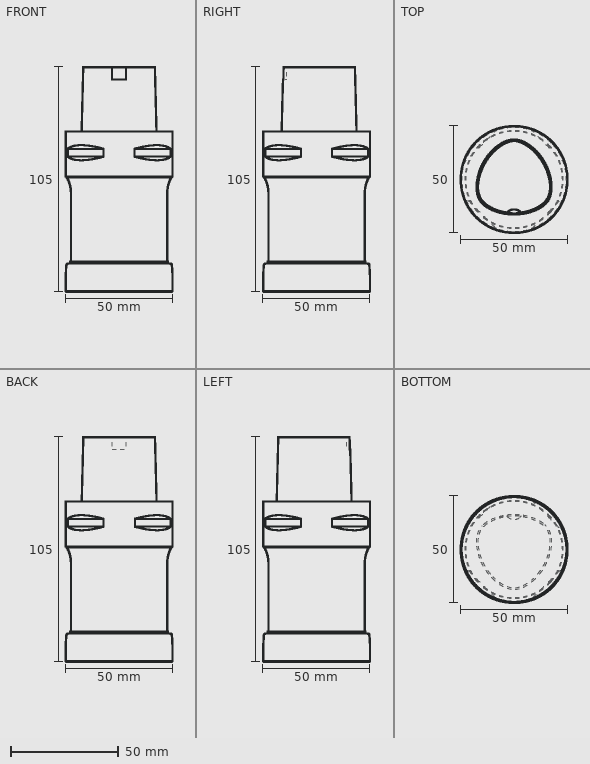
import cadquery as cq
import math

total_height = 105.0
flange_radius = 50.0 / 2
barrel_radius = 45.0 / 2

nut_height = 13.3
nut_top_radius = 24.7
nut_straight_height = 7.4
nut_bottom_chamfer = 0.5
nut_top_fillet = 0.8
lip_radius = 22.9
lip_height = 0.8
nut_total_height = nut_height + lip_height

neck_start_z = 46.1
flange_bottom_z = 54.0
flange_chamfer = 0.6
shank_length = 30.0
shank_bottom_z = total_height - shank_length

shank_mean_radius = 17.5
lobe_height = 1.2
taper_ratio = 1 / 40
flat_half_angle = 24.0
points_per_side = 7

keyway_radius = 4.2
keyway_depth = 1.7
keyway_height = 5.8

slot_count = 4
slot_z = 65.0
slot_floor_distance = 22.0
slot_floor_height = 3.7
slot_wall_angle = 30.0


def shank_point(angle, mean_radius, z):
    """Point whose outward normal is at `angle` degrees from +Y, towards +X."""
    a = math.radians(angle)
    reach = mean_radius + lobe_height * math.cos(3 * a)
    slope = -3 * lobe_height * math.sin(3 * a)
    x = reach * math.sin(a) + slope * math.cos(a)
    y = reach * math.cos(a) - slope * math.sin(a)
    return cq.Vector(x, y, z)


def shank_outline(mean_radius, z):
    """Closed three-lobed outline of alternating lobes and flatter sides."""
    lobe_half_angle = 60 - flat_half_angle
    edges = []
    for lobe_angle in (0, 120, 240):
        for middle, half_angle in ((lobe_angle, lobe_half_angle), (lobe_angle + 60, flat_half_angle)):
            step = 2 * half_angle / (points_per_side - 1)
            angles = [middle - half_angle + i * step for i in range(points_per_side)]
            points = [shank_point(angle, mean_radius, z) for angle in angles]
            edges.append(cq.Edge.makeSpline(points))
    return cq.Wire.assembleEdges(edges)


def make_shank():
    top_radius = shank_mean_radius - shank_length * taper_ratio
    bottom = shank_outline(shank_mean_radius, shank_bottom_z)
    top = shank_outline(top_radius, total_height)
    shank = cq.Workplane(cq.Solid.makeLoft([bottom, top], True))
    flat_y = -(top_radius - lobe_height)
    keyway = (
        cq.Workplane("XY", origin=(0, flat_y + keyway_depth - keyway_radius, total_height))
        .circle(keyway_radius)
        .extrude(-keyway_height)
    )
    return shank.cut(keyway)


def make_gripper_slot():
    """Flat-floored slot cutter on the +X side, widening outwards."""
    slot_depth = flange_radius - slot_floor_distance
    floor_half = slot_floor_height / 2
    mouth_half = floor_half + slot_depth * math.tan(math.radians(slot_wall_angle))
    return (
        cq.Workplane("XZ", origin=(0, 0, slot_z))
        .moveTo(slot_floor_distance, -floor_half)
        .lineTo(flange_radius, -mouth_half)
        .lineTo(flange_radius, mouth_half)
        .lineTo(slot_floor_distance, floor_half)
        .close()
        .extrude(flange_radius, both=True)
    )


def make_holder():
    """Barrel, curved flaring neck, slotted flange and shank in one solid."""
    holder = (
        cq.Workplane("XZ")
        .moveTo(0, nut_total_height)
        .lineTo(barrel_radius, nut_total_height)
        .lineTo(barrel_radius, neck_start_z)
        .tangentArcPoint((flange_radius - flange_chamfer, flange_bottom_z - flange_chamfer), relative=False)
        .lineTo(flange_radius, flange_bottom_z)
        .lineTo(flange_radius, shank_bottom_z)
        .lineTo(0, shank_bottom_z)
        .close()
        .revolve(360, (0, 0), (0, 1))
    )
    holder = holder.union(make_shank())
    slot = make_gripper_slot()
    pitch = 360 / slot_count
    for i in range(slot_count):
        holder = holder.cut(slot.rotate((0, 0, 0), (0, 0, 1), pitch * (i + 0.5)))
    return holder


def make_nut():
    """Cap with a gently curved wall, a rounded shoulder and a low central lip."""
    shoulder_z = nut_height - nut_top_fillet
    return (
        cq.Workplane("XZ")
        .lineTo(flange_radius - nut_bottom_chamfer, 0)
        .lineTo(flange_radius, nut_bottom_chamfer)
        .lineTo(flange_radius, nut_straight_height)
        .tangentArcPoint((nut_top_radius, shoulder_z), relative=False)
        .tangentArcPoint((nut_top_radius - nut_top_fillet, nut_height), relative=False)
        .lineTo(lip_radius, nut_height)
        .lineTo(lip_radius, nut_total_height)
        .lineTo(0, nut_total_height)
        .close()
        .revolve(360, (0, 0), (0, 1))
    )


holder = make_holder()
nut = make_nut()
result = cq.Compound.makeCompound([holder.solids().val(), nut.val()])